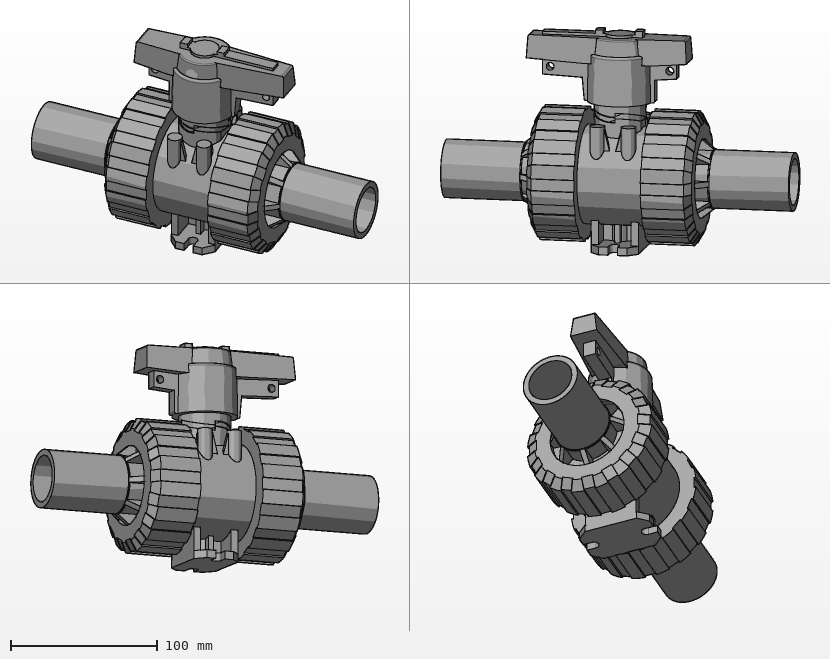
import cadquery as cq

overall_length = 241.5
bore_radius = 16.0
cut_margin = 2.5

housing_radius = 34.0
housing_half_length = 47.0
neck_radius = 17.9
neck_half_width = 16.0
neck_flat_top = 39.5
neck_top = 51.7
cam_groove_depth = 0.7
cam_groove_height = 3.6
cam_tilt = 16.0
cam_rising_height = 41.3
cam_falling_height = 44.5

post_radius = 5.0
post_x = 10.9
post_y = 24.9
post_top = 38.5
web_thickness = 3.0
web_top = 36.2
inner_web_tip_x = 2.2
inner_web_tip_z = 21.7
neck_web_x = 13.3
neck_web_tip_y = 18.0
neck_web_tip_z = 27.8

foot_bottom = -50.7
foot_plate_height = 5.5
foot_half_length = 16.5
foot_half_width = 26.0
foot_chamfer_x = 6.5
foot_chamfer_y = 7.0
foot_slot_radius = 3.5
foot_slot_center_y = 19.3
foot_wall_thickness = 5.0
foot_wall_half_width = 18.5
foot_boss_radius = 5.3
foot_rib_thickness = 3.6
foot_rib_half_width = 10.6

nut_inner_x = 23.2
nut_shoulder_x = 53.0
nut_outer_x = 57.2
nut_radius = 46.1
nut_face_radius = 39.0
nut_hole_radius = 27.3
groove_count = 16
groove_width = 8.2
groove_depth = 1.5

pipe_radius = 20.0
pipe_flange_thickness = 4.8
pipe_rib_count = 8
pipe_rib_thickness = 3.9
pipe_rib_end_x = 65.7
pipe_lip_radius = 20.5
pipe_lip_length = 1.0

skirt_base_radius = 22.5
skirt_top_radius = 21.7
skirt_top = 85.5
skirt_edge_radius = 1.7
crown_base_radius = 19.5
crown_top_radius = 17.9
crown_edge_radius = 1.0

lever_top = 96.5
lever_hub_bottom = 79.0
lever_end_bottom = 80.7
lever_hub_x = 14.5
lever_left_x = -48.0
lever_right_x = 63.5
lever_left_half_width = 11.4
lever_hub_half_width = 13.3
lever_right_half_width = 10.0
lever_end_draft = 1.0
lever_side_draft = 2.2
lever_edge_radius = 1.5

fin_thickness = 9.0
fin_left_x = -39.8
fin_right_x = 53.1
fin_end_bottom = 68.8
fin_hub_bottom = 67.5
fin_hub_left_x = -24.6
fin_hub_right_x = 25.5
fin_foot_right_x = 24.2
fin_foot_radius = 1.2
fin_hole_radius = 2.7
fin_hole_z = 74.5
fin_hole_x = (-35.3, 47.8)

disc_radius = 10.0
disc_top = 98.5
tab_top = 101.0
tab_inner_x = 11.0
tab_outer_x = 16.5
indicator_width = 8.5
pointer_end_x = 53.1


def x_cylinder(radius, x_start, x_end):
    """Solid cylinder on the flow axis."""
    return cq.Workplane("YZ").workplane(offset=x_start).circle(radius).extrude(x_end - x_start)


def z_cylinder(radius, z_start, z_end, x=0.0, y=0.0):
    """Solid vertical cylinder."""
    return cq.Workplane("XY", origin=(x, y, z_start)).circle(radius).extrude(z_end - z_start)


def z_cone(base_radius, top_radius, z_start, z_end):
    """Solid cone frustum on the stem axis."""
    outline = [(0, z_start), (base_radius, z_start), (top_radius, z_end), (0, z_end)]
    return cq.Workplane("XZ").polyline(outline).close().revolve(360, (0, 0, 0), (0, 1, 0))


def block(x_range, y_range, z_range):
    """Box given by its limits along each axis."""
    size = [high - low for low, high in (x_range, y_range, z_range)]
    corner = (x_range[0], y_range[0], z_range[0])
    return cq.Workplane("XY").box(*size, centered=False).translate(corner)


def centered_plate(plane, points, thickness):
    """Flat plate with the given outline, centred on the plane."""
    return cq.Workplane(plane).polyline(points).close().extrude(thickness / 2, both=True)


def cam_groove():
    """Two sloping halves of a shallow groove that meet in a step on the -Y side of the neck."""
    ring = z_cylinder(neck_radius + cut_margin, 0, neck_top)
    ring = ring.cut(z_cylinder(neck_radius - cam_groove_depth, 0, neck_top))
    reach = 2 * neck_radius
    halves = []
    for side, height in ((-1, cam_rising_height), (1, cam_falling_height)):
        slab = cq.Workplane("XY").box(reach, reach, cam_groove_height, centered=(True, False, True))
        slab = slab.rotate((0, 0, 0), (1, 0, 0), side * -cam_tilt)
        halves.append(slab.translate((side * neck_radius, -neck_radius, height)))
    front_half = block((-reach, reach), (-reach, 0), (0, neck_top))
    return halves[0].union(halves[1]).intersect(ring).intersect(front_half)


def neck():
    """Stem neck: round at the top, flattened on both X sides below, with cam grooves."""
    upper = z_cylinder(neck_radius, neck_flat_top, neck_top)
    x_limits = (-neck_half_width, neck_half_width)
    y_limits = (-neck_radius, neck_radius)
    flattened = block(x_limits, y_limits, (0, neck_flat_top))
    lower = z_cylinder(neck_radius, 0, neck_flat_top).intersect(flattened)
    groove = cam_groove()
    opposite_groove = groove.rotate((0, 0, 0), (0, 0, 1), 180)
    return upper.union(lower).cut(groove).cut(opposite_groove)


def post():
    """Post at +X, +Y with one web along X and one towards the neck."""
    column = z_cylinder(post_radius, 0, post_top, post_x, post_y)
    inner_outline = [
        (post_x, 0),
        (inner_web_tip_x, 0),
        (inner_web_tip_x, inner_web_tip_z),
        (post_x - post_radius, web_top),
        (post_x, web_top),
    ]
    inner_web = centered_plate("XZ", inner_outline, web_thickness).translate((0, post_y, 0))
    neck_outline = [
        (post_y, 0),
        (neck_web_tip_y, 0),
        (neck_web_tip_y, neck_web_tip_z),
        (post_y - post_radius, web_top),
        (post_y, web_top),
    ]
    neck_web = centered_plate("YZ", neck_outline, web_thickness).translate((neck_web_x, 0, 0))
    return column.union(inner_web).union(neck_web)


def foot():
    """Mounting foot: slotted plate, two side walls, a centre wall and a ribbed boss."""
    plate_top = foot_bottom + foot_plate_height
    side_y = foot_half_width - foot_chamfer_y
    end_x = foot_half_length - foot_chamfer_x
    outline = [
        (foot_half_length, -side_y),
        (foot_half_length, side_y),
        (end_x, foot_half_width),
        (-end_x, foot_half_width),
        (-foot_half_length, side_y),
        (-foot_half_length, -side_y),
        (-end_x, -foot_half_width),
        (end_x, -foot_half_width),
    ]
    plate = cq.Workplane("XY", origin=(0, 0, foot_bottom)).polyline(outline).close()
    plate = plate.extrude(foot_plate_height)
    slot_length = 2 * (foot_half_width - foot_slot_center_y + foot_slot_radius)
    for side in (-1, 1):
        slot = (
            cq.Workplane("XY", origin=(0, side * foot_half_width, foot_bottom))
            .slot2D(slot_length, 2 * foot_slot_radius, 90)
            .extrude(foot_plate_height)
        )
        plate = plate.cut(slot)

    height = (plate_top, 0)
    wall_y = (-foot_wall_half_width, foot_wall_half_width)
    inner_x = foot_half_length - foot_wall_thickness
    half_rib = foot_rib_thickness / 2
    assembled = plate.union(block((inner_x, foot_half_length), wall_y, height))
    assembled = assembled.union(block((-foot_half_length, -inner_x), wall_y, height))
    assembled = assembled.union(block((-inner_x, inner_x), (-half_rib, half_rib), height))
    rib_y = (-foot_rib_half_width, foot_rib_half_width)
    assembled = assembled.union(block((-half_rib, half_rib), rib_y, height))
    return assembled.union(z_cylinder(foot_boss_radius, plate_top, 0))


def make_housing():
    body = x_cylinder(housing_radius, -housing_half_length, housing_half_length)
    body = body.union(neck()).union(foot())
    corner_post = post()
    post_pair = corner_post.union(corner_post.mirror("YZ"))
    body = body.union(post_pair).union(post_pair.mirror("XZ"))
    return body.cut(x_cylinder(bore_radius, -housing_half_length, housing_half_length))


def make_nut():
    """Nut on the +X side, with grip grooves that follow its side and its bevel."""
    seat_x = housing_half_length + pipe_flange_thickness
    profile = [
        (nut_inner_x, housing_radius),
        (nut_inner_x, nut_radius),
        (nut_shoulder_x, nut_radius),
        (nut_outer_x, nut_face_radius),
        (nut_outer_x, nut_hole_radius),
        (seat_x, nut_hole_radius),
        (seat_x, housing_radius),
    ]
    nut = cq.Workplane("XZ").polyline(profile).close().revolve(360, (0, 0, 0), (1, 0, 0))
    groove_profile = [
        (nut_inner_x, nut_radius - groove_depth),
        (nut_shoulder_x, nut_radius - groove_depth),
        (nut_outer_x, nut_face_radius - groove_depth),
        (nut_outer_x, nut_radius + cut_margin),
        (nut_inner_x, nut_radius + cut_margin),
    ]
    groove = centered_plate("XZ", groove_profile, groove_width)
    for index in range(groove_count):
        nut = nut.cut(groove.rotate((0, 0, 0), (1, 0, 0), index * 360 / groove_count))
    return nut


def make_pipe_end():
    """Pipe on the +X side: flange held by the nut, ribs that taper outwards, and a plain tube."""
    end_x = overall_length / 2
    flange_end = housing_half_length + pipe_flange_thickness
    pipe = x_cylinder(pipe_radius, housing_half_length, end_x)
    pipe = pipe.union(x_cylinder(housing_radius, housing_half_length, flange_end))
    pipe = pipe.union(x_cylinder(pipe_lip_radius, pipe_rib_end_x - pipe_lip_length, pipe_rib_end_x))
    rib_profile = [
        (flange_end, bore_radius),
        (flange_end, nut_hole_radius),
        (nut_outer_x, nut_hole_radius),
        (pipe_rib_end_x, pipe_lip_radius),
        (pipe_rib_end_x, bore_radius),
    ]
    rib = centered_plate("XZ", rib_profile, pipe_rib_thickness)
    rib = rib.intersect(x_cylinder(nut_hole_radius, flange_end, pipe_rib_end_x))
    for index in range(pipe_rib_count):
        pipe = pipe.union(rib.rotate((0, 0, 0), (1, 0, 0), index * 360 / pipe_rib_count))
    return pipe.cut(x_cylinder(bore_radius, housing_half_length, end_x))


def hub():
    """Round hub: drafted skirt with a rounded edge, and a conical crown."""
    skirt = z_cone(skirt_base_radius, skirt_top_radius, neck_top, skirt_top)
    skirt = skirt.faces(">Z").edges().fillet(skirt_edge_radius)
    crown = z_cone(crown_base_radius, crown_top_radius, skirt_top, lever_top)
    crown = crown.faces(">Z").edges().fillet(crown_edge_radius)
    return skirt.union(crown)


def lever_outline(end_inset, side_inset):
    """Plan outline of the lever, widest beside the hub."""
    left_x = lever_left_x + end_inset
    right_x = lever_right_x - end_inset
    upper_side = [
        (left_x, lever_left_half_width - side_inset),
        (-lever_hub_x, lever_hub_half_width - side_inset),
        (lever_hub_x, lever_hub_half_width - side_inset),
        (right_x, lever_right_half_width - side_inset),
    ]
    lower_side = [(x, -y) for x, y in reversed(upper_side)]
    return upper_side + lower_side


def lever():
    """Drafted lever bar whose underside rises towards both ends."""
    bar = (
        cq.Workplane("XY", origin=(0, 0, lever_hub_bottom))
        .polyline(lever_outline(0, 0)).close()
        .workplane(offset=lever_top - lever_hub_bottom)
        .polyline(lever_outline(lever_end_draft, lever_side_draft)).close()
        .loft(ruled=True, combine=True)
    )
    bar = bar.faces(">Z").edges("<X or >X").fillet(lever_edge_radius)
    side_profile = [
        (lever_left_x, lever_top),
        (lever_left_x, lever_end_bottom),
        (-skirt_base_radius, lever_hub_bottom),
        (skirt_base_radius, lever_hub_bottom),
        (lever_right_x, lever_end_bottom),
        (lever_right_x, lever_top),
    ]
    return bar.intersect(centered_plate("XZ", side_profile, 4 * lever_hub_half_width))


def fin():
    """Upright fin below the lever and along both sides of the skirt, with two lock holes."""
    outline = [
        (fin_left_x, lever_end_bottom),
        (fin_left_x, fin_end_bottom),
        (fin_hub_left_x, fin_hub_bottom),
        (fin_hub_left_x, neck_top),
        (fin_foot_right_x, neck_top),
        (fin_hub_right_x, fin_hub_bottom),
        (fin_right_x, fin_end_bottom),
        (fin_right_x, lever_end_bottom),
    ]
    plate = centered_plate("XZ", outline, fin_thickness)
    plate = plate.faces("<Z").edges("|Y").fillet(fin_foot_radius)
    hole_centers = [(x, fin_hole_z) for x in fin_hole_x]
    holes = cq.Workplane("XZ").pushPoints(hole_centers).circle(fin_hole_radius)
    holes = holes.extrude(fin_thickness, both=True)
    return plate.cut(holes)


def indicator():
    """Disc with two raised tabs and a pointer bar along +X."""
    width = (-indicator_width / 2, indicator_width / 2)
    mark = z_cylinder(disc_radius, lever_hub_bottom, disc_top)
    mark = mark.union(block((-tab_outer_x, pointer_end_x), width, (lever_end_bottom, disc_top)))
    for tab_x in ((-tab_outer_x, -tab_inner_x), (tab_inner_x, tab_outer_x)):
        mark = mark.union(block(tab_x, width, (lever_end_bottom, tab_top)))
    return mark


def make_handle():
    return hub().union(lever()).union(fin()).union(indicator())


housing = make_housing()
handle = make_handle()
right_nut = make_nut()
right_pipe_end = make_pipe_end()
nuts = [right_nut, right_nut.mirror("YZ")]
pipe_ends = [right_pipe_end, right_pipe_end.mirror("YZ")]

result = cq.Compound.makeCompound(
    [housing.val(), handle.val()]
    + [nut.val() for nut in nuts]
    + [pipe_end.val() for pipe_end in pipe_ends]
)